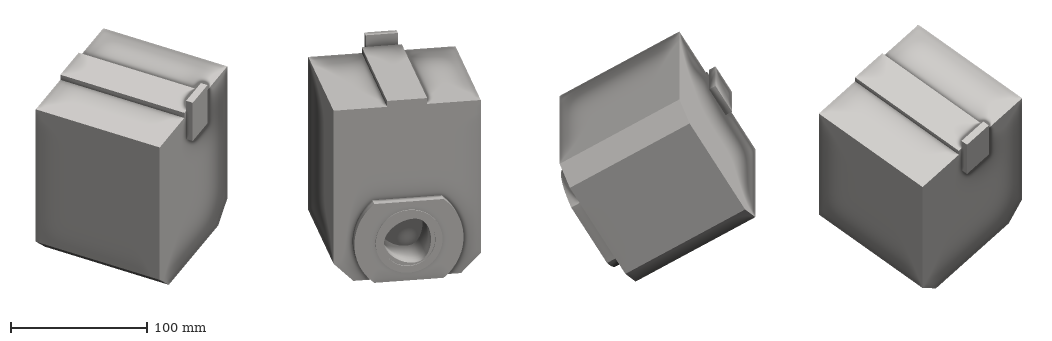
import cadquery as cq
import math

body_length = 102.1
body_width = 110.0
body_height = 137.1
bottom_chamfer = 14.8

rail_width = 29.9
rail_height = 4.7

overall_height = 151
tab_width = 24.0
tab_thickness = 5.5
tab_bottom = 115.7

spindle_z = 31.9
flange_diameter = 81.5
flange_flat_distance = 63.0
flange_thickness = 7.2
overall_length = 115.5
ring_outer_diameter = 50.0
ring_inner_diameter = 39.3
ring_height = overall_length - body_length - tab_thickness - flange_thickness

socket_mouth_radius = 17.5
socket_floor_radius = 16.8
socket_lobe_height = 1.0
socket_depth = 30.2
socket_curve_points = 48

flange_face_x = -flange_thickness


def make_body():
    """Block with both long bottom edges chamfered."""
    return (
        cq.Workplane("XY")
        .box(body_length, body_width, body_height, centered=(False, True, False))
        .edges("|X and <Z")
        .chamfer(bottom_chamfer)
    )


def make_rail():
    return (
        cq.Workplane("XY", origin=(0, 0, body_height))
        .box(body_length, rail_width, rail_height, centered=(False, True, False))
    )


def make_tab():
    return (
        cq.Workplane("XY", origin=(body_length, 0, tab_bottom))
        .box(tab_thickness, tab_width, overall_height - tab_bottom, centered=(False, True, False))
    )


def make_flange():
    """Round disc trimmed by parallel flats above and below its centre."""
    disc = (
        cq.Workplane("YZ", origin=(flange_face_x, 0, spindle_z))
        .circle(flange_diameter / 2)
        .extrude(flange_thickness)
    )
    band = (
        cq.Workplane("YZ", origin=(flange_face_x, 0, spindle_z))
        .rect(flange_diameter, flange_flat_distance)
        .extrude(flange_thickness)
    )
    return disc.intersect(band)


def make_ring():
    return (
        cq.Workplane("YZ", origin=(flange_face_x - ring_height, 0, spindle_z))
        .circle(ring_outer_diameter / 2)
        .circle(ring_inner_diameter / 2)
        .extrude(ring_height)
    )


def lobed_outline(radius):
    """Points of a constant-width three-lobed curve with one lobe toward +Y."""
    points = []
    for i in range(socket_curve_points):
        angle = 2 * math.pi * i / socket_curve_points
        y = radius * math.cos(angle) + socket_lobe_height * (
            2 * math.cos(2 * angle) - math.cos(4 * angle)
        )
        z = radius * math.sin(angle) - socket_lobe_height * (
            2 * math.sin(2 * angle) + math.sin(4 * angle)
        )
        points.append((y, z))
    return points


def make_socket():
    """Blind socket narrowing from the flange face to its floor."""
    return (
        cq.Workplane("YZ", origin=(flange_face_x, 0, spindle_z))
        .spline(lobed_outline(socket_mouth_radius), periodic=True)
        .wire()
        .workplane(offset=socket_depth)
        .spline(lobed_outline(socket_floor_radius), periodic=True)
        .wire()
        .loft(combine=True)
    )


result = (
    make_body()
    .union(make_rail())
    .union(make_tab())
    .union(make_flange())
    .union(make_ring())
    .cut(make_socket())
)